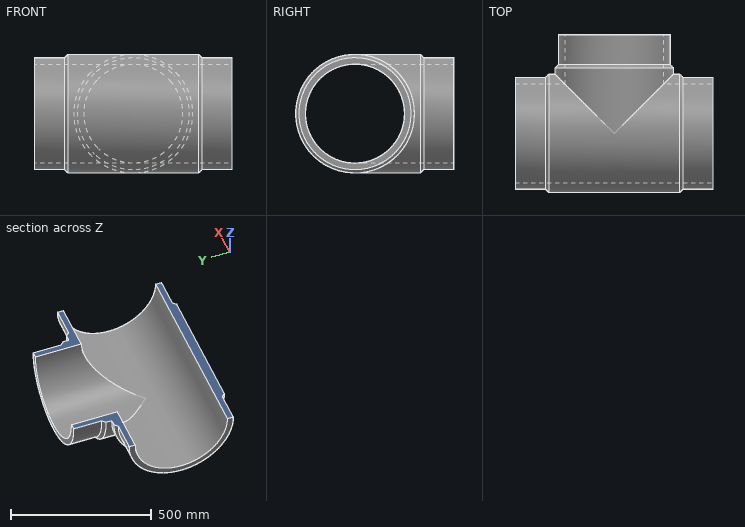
import cadquery as cq

run_length = 705.0
branch_reach = 352.5
body_diameter = 424.0
spigot_diameter = 400.0
bore_diameter = 352.5
spigot_length = 107.0

body_radius = body_diameter / 2
spigot_radius = spigot_diameter / 2
bore_radius = bore_diameter / 2
half_run = run_length / 2
bevel = body_radius - spigot_radius

arms = [
    (cq.Plane(origin=(0, 0, 0), xDir=(0, 1, 0), normal=(1, 0, 0)), half_run),
    (cq.Plane(origin=(0, 0, 0), xDir=(0, 1, 0), normal=(-1, 0, 0)), half_run),
    (cq.Plane(origin=(0, 0, 0), xDir=(1, 0, 0), normal=(0, 1, 0)), branch_reach),
]


def arm_body(plane, reach):
    """Thick arm with a bevelled shoulder, starting at the tee centre."""
    shoulder = reach - spigot_length
    return cq.Workplane(plane).circle(body_radius).extrude(shoulder).faces(
        cq.selectors.DirectionMinMaxSelector(plane.zDir, True)
    ).edges().chamfer(bevel)


def cylinder(plane, radius, length):
    return cq.Workplane(plane).circle(radius).extrude(length)


outside = cq.Workplane("XY")
for plane, reach in arms:
    outside = outside.union(arm_body(plane, reach))
    outside = outside.union(cylinder(plane, spigot_radius, reach))

result = outside.clean()
for plane, reach in arms:
    result = result.cut(cylinder(plane, bore_radius, reach))